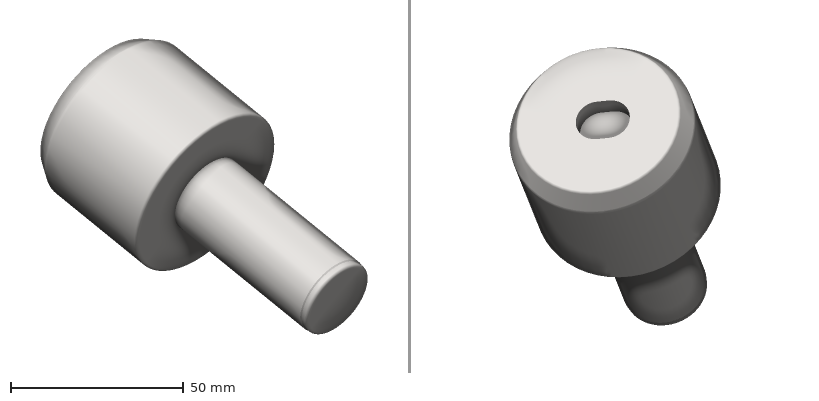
import cadquery as cq
import math

head_diameter = 55.0
head_length = 45.0
cone_length = 6.0
cone_angle = 30.0
cone_drop = cone_length * math.tan(math.radians(cone_angle))
face_blend_radius = 1.0
shoulder_blend_radius = 2.0
head_back_radius = 1.0

overall_length = 101.0
shank_diameter = 25.0
tip_diameter = 24.5
tip_length = 2.3
step_angle = 30.0
step_length = (shank_diameter - tip_diameter) / 2 / math.tan(math.radians(step_angle))
tip_end_radius = 1.0

slot_length = 16.0
slot_width = 12.5
slot_depth = 6.5
slot_center_y = -1.4


def make_head():
    """Head with a conical front and rounded rims."""
    radius = head_diameter / 2
    outline = [
        (0, 0),
        (0, radius - cone_drop),
        (cone_length, radius),
        (head_length, radius),
        (head_length, 0),
    ]
    head = cq.Workplane("XY").polyline(outline).close().revolve(360, (0, 0, 0), (1, 0, 0))
    head = head.faces("<X").edges().fillet(face_blend_radius)
    shoulder = cq.selectors.NearestToPointSelector((cone_length, 0, 0))
    head = head.edges("%CIRCLE").edges(shoulder).fillet(shoulder_blend_radius)
    return head.faces(">X").edges().fillet(head_back_radius)


def make_shank():
    """Shank that tapers down to a rounded tip."""
    step_end = overall_length - tip_length
    step_start = step_end - step_length
    outline = [
        (head_length, 0),
        (head_length, shank_diameter / 2),
        (step_start, shank_diameter / 2),
        (step_end, tip_diameter / 2),
        (overall_length, tip_diameter / 2),
        (overall_length, 0),
    ]
    shank = cq.Workplane("XY").polyline(outline).close().revolve(360, (0, 0, 0), (1, 0, 0))
    return shank.faces(">X").edges().fillet(tip_end_radius)


def make_slot():
    """Round-ended slot volume, sunk into the free face."""
    return cq.Workplane("YZ").center(slot_center_y, 0).slot2D(slot_length, slot_width).extrude(slot_depth)


result = make_head().union(make_shank()).cut(make_slot())